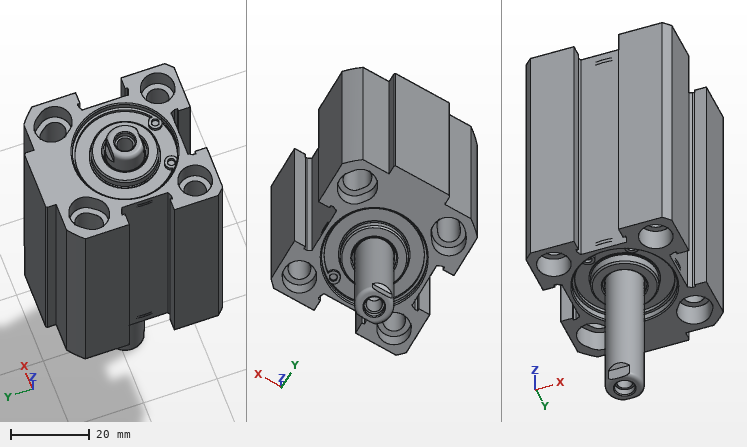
import cadquery as cq
import math


HOUSING_HEIGHT = 69.5
WIDTH = 40.0
DEPTH = 44.5
SHOULDER_Y = 21.7
CORNER_RADIUS = 27.0
RAIL_HALF_WIDTH = 8.3
RAIL_EDGE_CHAMFER = 0.3

SLOT_FLOOR = 14.8
SLOT_LIP_DEPTH = 3.2
SLOT_HALF_MOUTH = 6.1
SLOT_HALF_UNDERCUT = 6.8
SLOT_UNDERCUT_STRAIGHT = 0.8
SLOT_HALF_FLOOR = 6.2

MOUNT_SPACING = 28.0
MOUNT_DIAMETER = 5.8
COUNTERBORE_DIAMETER = 8.8
COUNTERBORE_DEPTH = 6.1
BACK_SLOT_SHIFT_X = 1.0
BACK_SLOT_SHIFT_Y = 1.3

BORE_DIAMETER = 27.0
BORE_CHAMFER = 0.3
GROOVE_DIAMETER = 29.4
GROOVE_DEPTH = 2.0
RING_THICKNESS = 1.0

RING_INNER_DIAMETER = 25.6
EYE_CIRCLE_RADIUS = 12.0
EYE_ANGLE = 30
EYE_DIAMETER = 3.6
EYE_HOLE_DIAMETER = 2.0

GUIDE_DIAMETER = 26.9
BOSS_DIAMETER = 17.5
BOSS_CHAMFER = 0.5
BOSS_FOOT_DIAMETER = 18.3
BOSS_FOOT_HEIGHT = 0.3
RECESS_DIAMETER = 11.4
RECESS_CHAMFER = 0.3
RECESS_DEPTH = 0.9
RECESS_STEP_DIAMETER = 10.5
RECESS_STEP_DEPTH = 1.8

ROD_LENGTH = 111.5
ROD_DIAMETER = 10.0
ROD_TOP_PROJECTION = 5.6
ROD_END_ROUND = 1.1
FLAT_WIDTH = 8.1
FLAT_LENGTH = 3.5
TAP_DIAMETER = 4.1
TAP_MOUTH_DIAMETER = 5.2
TAP_MOUTH_DEPTH = 2.0
TAP_CHAMFER = 0.28
TAP_DEPTH = 10.0
DRILL_POINT_ANGLE = 118

HALF_WIDTH = WIDTH / 2
RAIL_TOP_Y = DEPTH - HALF_WIDTH
MOUNT_OFFSET = MOUNT_SPACING / 2
ROD_TOP = HOUSING_HEIGHT + ROD_TOP_PROJECTION
RING_FACE = GROOVE_DEPTH + RING_THICKNESS
MIDDLE_Z = HOUSING_HEIGHT / 2
UPPER_RING_Z = HOUSING_HEIGHT - RING_FACE
LOWER_RING_Z = GROOVE_DEPTH


def cylinder(diameter, low, high):
    """Cylinder on the rod axis between two heights."""
    return cq.Workplane("XY").workplane(offset=low).circle(diameter / 2).extrude(high - low)


def turned(profile):
    """Solid turned about the rod axis from (radius, height) points."""
    return cq.Workplane("XZ").polyline(profile).close().revolve(360, (0, 0, 0), (0, 1, 0))


def mirrored_end(shape):
    """The same shape at the other end of the housing."""
    return shape.mirror("XY", (0, 0, MIDDLE_Z))


def sensor_slot():
    """Slot in the front side over the full height, with an undercut that tapers towards its floor."""
    lip = HALF_WIDTH - SLOT_LIP_DEPTH
    right_side = [
        (SLOT_HALF_FLOOR, -SLOT_FLOOR),
        (SLOT_HALF_UNDERCUT, -lip + SLOT_UNDERCUT_STRAIGHT),
        (SLOT_HALF_UNDERCUT, -lip),
        (SLOT_HALF_MOUTH, -lip),
        (SLOT_HALF_MOUTH, -HALF_WIDTH),
    ]
    left_side = [(-x, y) for x, y in reversed(right_side)]
    return cq.Workplane("XY").polyline(right_side + left_side).close().extrude(HOUSING_HEIGHT)


def mount_hole(side, back, diameter, low, high):
    """Corner hole of one diameter; at the back it is stretched into a slanted slot."""
    x = side * MOUNT_OFFSET
    y = MOUNT_OFFSET if back else -MOUNT_OFFSET
    base = cq.Workplane("XY").workplane(offset=low)
    if not back:
        return base.center(x, y).circle(diameter / 2).extrude(high - low)
    shift_x = -side * BACK_SLOT_SHIFT_X
    length = math.hypot(shift_x, BACK_SLOT_SHIFT_Y)
    angle = math.degrees(math.atan2(BACK_SLOT_SHIFT_Y, shift_x))
    return (
        base.center(x + shift_x / 2, y + BACK_SLOT_SHIFT_Y / 2)
        .slot2D(length + diameter, diameter, angle)
        .extrude(high - low)
    )


def make_housing():
    block = (
        cq.Workplane("XY")
        .rect(2 * HALF_WIDTH, HALF_WIDTH + SHOULDER_Y)
        .extrude(HOUSING_HEIGHT)
        .translate((0, (SHOULDER_Y - HALF_WIDTH) / 2, 0))
        .intersect(cylinder(2 * CORNER_RADIUS, 0, HOUSING_HEIGHT))
    )
    rail = (
        cq.Workplane("XY")
        .rect(2 * RAIL_HALF_WIDTH, RAIL_TOP_Y - MOUNT_OFFSET)
        .extrude(HOUSING_HEIGHT)
        .translate((0, (RAIL_TOP_Y + MOUNT_OFFSET) / 2, 0))
        .edges("|Z and >Y")
        .chamfer(RAIL_EDGE_CHAMFER)
    )
    housing = block.union(rail)

    for turn in (-90, 0, 90):
        housing = housing.cut(sensor_slot().rotate((0, 0, 0), (0, 0, 1), turn))

    for side in (-1, 1):
        for back in (False, True):
            housing = housing.cut(mount_hole(side, back, MOUNT_DIAMETER, 0, HOUSING_HEIGHT))
            counterbore = mount_hole(
                side, back, COUNTERBORE_DIAMETER, HOUSING_HEIGHT - COUNTERBORE_DEPTH, HOUSING_HEIGHT
            )
            housing = housing.cut(counterbore).cut(mirrored_end(counterbore))

    bore = cylinder(BORE_DIAMETER, 0, HOUSING_HEIGHT)
    mouth = turned([
        (0, HOUSING_HEIGHT),
        (BORE_DIAMETER / 2 + BORE_CHAMFER, HOUSING_HEIGHT),
        (BORE_DIAMETER / 2, HOUSING_HEIGHT - BORE_CHAMFER),
        (0, HOUSING_HEIGHT - BORE_CHAMFER),
    ])
    groove = cylinder(GROOVE_DIAMETER, UPPER_RING_Z, UPPER_RING_Z + RING_THICKNESS)
    for cutter in (bore, mouth, mirrored_end(mouth), groove, mirrored_end(groove)):
        housing = housing.cut(cutter)
    return housing


def rod_recess():
    """Cutter for the stepped recess around the rod in the upper boss face."""
    radius = RECESS_DIAMETER / 2
    step_radius = RECESS_STEP_DIAMETER / 2
    top = HOUSING_HEIGHT
    return turned([
        (0, top),
        (radius + RECESS_CHAMFER, top),
        (radius, top - RECESS_CHAMFER),
        (radius, top - RECESS_DEPTH),
        (step_radius, top - RECESS_DEPTH),
        (step_radius, top - RECESS_STEP_DEPTH),
        (0, top - RECESS_STEP_DEPTH),
    ])


def make_guide():
    """Guide filling the bore, with a boss around the rod at each end."""
    flange_top = UPPER_RING_Z
    guide = cylinder(GUIDE_DIAMETER, RING_FACE, flange_top)
    boss = cylinder(BOSS_DIAMETER, flange_top, HOUSING_HEIGHT).faces(">Z").chamfer(BOSS_CHAMFER)
    foot = cylinder(BOSS_FOOT_DIAMETER, flange_top, flange_top + BOSS_FOOT_HEIGHT)
    for piece in (boss, foot):
        guide = guide.union(piece).union(mirrored_end(piece))
    recess = rod_recess()
    for cutter in (cylinder(ROD_DIAMETER, 0, HOUSING_HEIGHT), recess, mirrored_end(recess)):
        guide = guide.cut(cutter)
    return guide


def make_ring(low):
    """Retaining ring with its lower side at one height, open at the front, with an eye at each end."""
    high = low + RING_THICKNESS
    gap_reach = GROOVE_DIAMETER
    half_gap = gap_reach * math.tan(math.radians(EYE_ANGLE))
    gap = (
        cq.Workplane("XY")
        .workplane(offset=low)
        .polyline([(0, 0), (-half_gap, -gap_reach), (half_gap, -gap_reach)])
        .close()
        .extrude(RING_THICKNESS)
    )
    ring = cylinder(GROOVE_DIAMETER, low, high).cut(cylinder(RING_INNER_DIAMETER, low, high)).cut(gap)
    eye_x = EYE_CIRCLE_RADIUS * math.sin(math.radians(EYE_ANGLE))
    eye_y = -EYE_CIRCLE_RADIUS * math.cos(math.radians(EYE_ANGLE))
    for x in (-eye_x, eye_x):
        ring = ring.union(cylinder(EYE_DIAMETER, low, high).translate((x, eye_y, 0)))
        ring = ring.cut(cylinder(EYE_HOLE_DIAMETER, low, high).translate((x, eye_y, 0)))
    return ring


def rod_flat():
    """Cutter for the front wrench flat at the upper rod end, with a sloped run-out."""
    top = ROD_TOP
    inner = -FLAT_WIDTH / 2
    outer = -ROD_DIAMETER
    low = top - FLAT_LENGTH
    return (
        cq.Workplane("YZ")
        .polyline([(inner, top), (inner, low), (outer, low + outer - inner), (outer, top)])
        .close()
        .extrude(ROD_DIAMETER / 2, both=True)
    )


def tapped_hole():
    """Stepped hole with a chamfered mouth and a drill point in the upper rod end."""
    top = ROD_TOP
    radius = TAP_DIAMETER / 2
    mouth = TAP_MOUTH_DIAMETER / 2
    bottom = top - TAP_DEPTH
    point = radius / math.tan(math.radians(DRILL_POINT_ANGLE / 2))
    return turned([
        (0, top),
        (mouth + TAP_CHAMFER, top),
        (mouth, top - TAP_CHAMFER),
        (mouth, top - TAP_MOUTH_DEPTH),
        (radius, top - TAP_MOUTH_DEPTH),
        (radius, bottom),
        (0, bottom - point),
    ])


def make_rod():
    top = ROD_TOP
    rod = cylinder(ROD_DIAMETER, top - ROD_LENGTH, top).edges("%CIRCLE").fillet(ROD_END_ROUND)
    middle = (0, 0, top - ROD_LENGTH / 2)
    flats = rod_flat().union(rod_flat().mirror("XZ"))
    for cutter in (flats, tapped_hole()):
        rod = rod.cut(cutter).cut(cutter.mirror("XY", middle))
    return rod


housing = make_housing()
guide = make_guide()
rod = make_rod()
rings = [make_ring(low) for low in (LOWER_RING_Z, UPPER_RING_Z)]

result = cq.Compound.makeCompound(
    [housing.val(), guide.val(), rod.val(), *[ring.val() for ring in rings]]
)